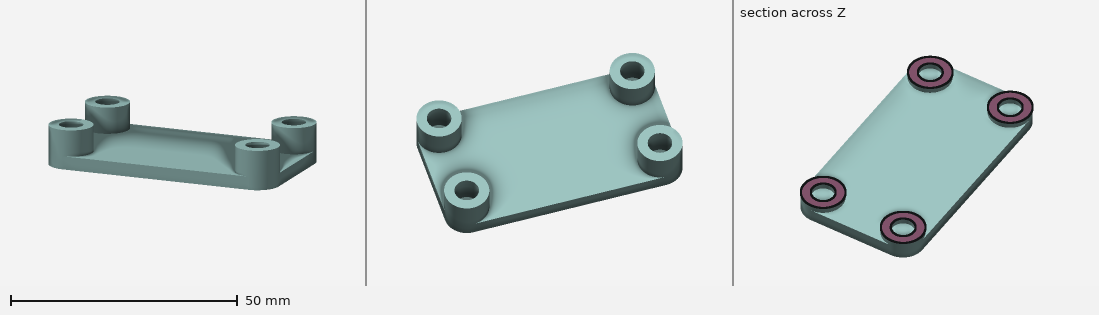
import cadquery as cq

length = 54.55
width = 30.75
height = 9.0

plate_thickness = 3.0
post_diameter = 10.0
hole_diameter = 5.4
hole_depth = height - plate_thickness

post_spacing_x = length - post_diameter
post_spacing_y = width - post_diameter


def plate_bar(size_x, size_y):
    """Rectangular bar of plate thickness, centred on the part and resting on Z = 0."""
    return cq.Workplane("XY").rect(size_x, size_y).extrude(plate_thickness)


def at_post_centres(z):
    """Workplane at height z with a point on each post axis."""
    plane = cq.Workplane("XY", origin=(0, 0, z))
    return plane.rect(post_spacing_x, post_spacing_y, forConstruction=True).vertices()


plate = plate_bar(length, post_spacing_y).union(plate_bar(post_spacing_x, width))
posts = at_post_centres(0).circle(post_diameter / 2).extrude(height)

holes = at_post_centres(height).circle(hole_diameter / 2).extrude(-hole_depth)

result = plate.union(posts).cut(holes)